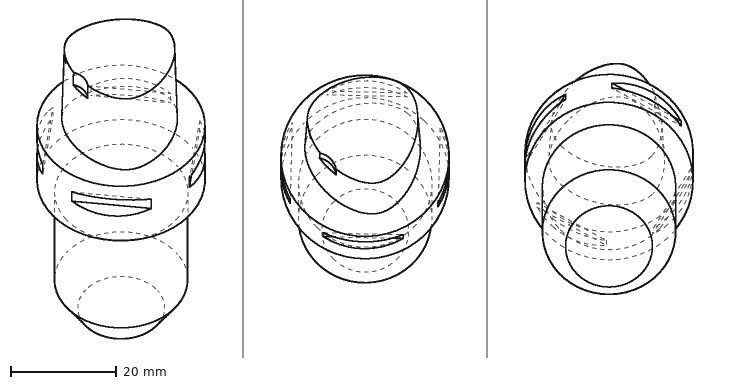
import cadquery as cq
import math

total_height = 69
flange_radius = 32.0 / 2
body_radius = 25.4 / 2
flange_top = 50.0
flange_bottom = 35.05
shoulder_bottom = flange_bottom - (flange_radius - body_radius)
nose_height = 7.65
nose_angle = 30
nose_radius = body_radius - nose_height * math.tan(math.radians(nose_angle))

lobe_count = 3
shank_base_width = 22.0
shank_taper = 1 / 20
shank_height = total_height - flange_top
shank_top_width = shank_base_width - shank_taper * shank_height
lobe_eccentricity = 0.7
first_lobe_angle = 90
lobe_half_angle = 24
points_per_face = 9

notch_count = 4
first_notch_angle = 45
notch_floor_distance = 14.1
notch_floor_width = 2.55
notch_mouth_width = 4.6
notch_middle = 44.1
notch_length = 2 * flange_radius

scoop_radius = 4.1
scoop_depth = 3.4
scoop_bottom_distance = 9.05


def turned_body():
    profile = [
        (0, 0),
        (nose_radius, 0),
        (body_radius, nose_height),
        (body_radius, shoulder_bottom),
        (flange_radius, flange_bottom),
        (flange_radius, flange_top),
        (0, flange_top),
    ]
    return cq.Workplane("XZ").polyline(profile).close().revolve(360, (0, 0), (0, 1))


def lobed_point(width, normal_angle, z):
    """Point of the constant-width outline whose outward normal has the given angle in degrees."""
    angle = math.radians(normal_angle)
    phase = lobe_count * math.radians(normal_angle - first_lobe_angle)
    reach = width / 2 + lobe_eccentricity * math.cos(phase)
    reach_slope = -lobe_count * lobe_eccentricity * math.sin(phase)
    x = reach * math.cos(angle) - reach_slope * math.sin(angle)
    y = reach * math.sin(angle) + reach_slope * math.cos(angle)
    return cq.Vector(x, y, z)


def tangent(normal_angle):
    angle = math.radians(normal_angle)
    return cq.Vector(-math.sin(angle), math.cos(angle), 0)


def outline_edge(width, start_angle, end_angle, z):
    step = (end_angle - start_angle) / (points_per_face - 1)
    points = [lobed_point(width, start_angle + i * step, z) for i in range(points_per_face)]
    return cq.Edge.makeSpline(points, tangents=[tangent(start_angle), tangent(end_angle)])


def lobed_outline(width, z):
    pitch = 360 / lobe_count
    edges = []
    for i in range(lobe_count):
        crest = first_lobe_angle + i * pitch
        lobe_start = crest - lobe_half_angle
        lobe_end = crest + lobe_half_angle
        edges.append(outline_edge(width, lobe_start, lobe_end, z))
        edges.append(outline_edge(width, lobe_end, lobe_start + pitch, z))
    return cq.Wire.assembleEdges(edges)


def shank():
    base = lobed_outline(shank_base_width, flange_top)
    top = lobed_outline(shank_top_width, total_height)
    return cq.Workplane(obj=cq.Solid.makeLoft([base, top], True))


def gripper_notch(angle):
    half_floor = notch_floor_width / 2
    half_mouth = notch_mouth_width / 2
    section = [
        (notch_floor_distance, notch_middle - half_floor),
        (flange_radius, notch_middle - half_mouth),
        (flange_radius, notch_middle + half_mouth),
        (notch_floor_distance, notch_middle + half_floor),
    ]
    cutter = cq.Workplane("XZ").polyline(section).close().extrude(notch_length / 2, both=True)
    return cutter.rotate((0, 0, 0), (0, 0, 1), angle)


def locating_scoop():
    center_y = -(scoop_bottom_distance + scoop_radius)
    cutter = cq.Workplane("XY", origin=(0, center_y, total_height - scoop_depth))
    return cutter.circle(scoop_radius).extrude(scoop_depth)


result = turned_body().union(shank())
for notch in range(notch_count):
    result = result.cut(gripper_notch(first_notch_angle + notch * 360 / notch_count))
result = result.cut(locating_scoop())